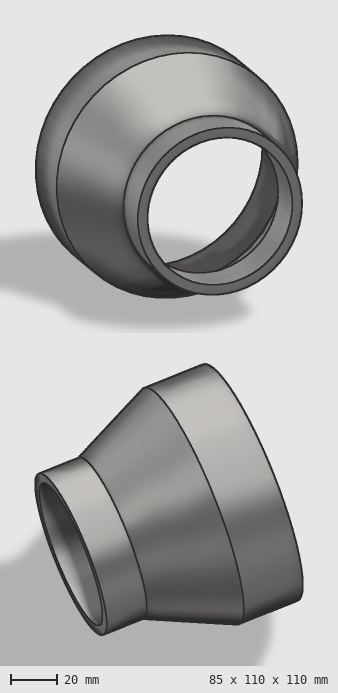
import cadquery as cq

large_outer_diameter = 110.0
large_wall = 6.6
small_outer_diameter = 75.0
small_wall = 4.5

total_length = 85.0
large_end_length = 28.0
small_end_length = 19.0
taper_end = total_length - small_end_length


def stepped_taper(large_radius, small_radius):
    """Solid of revolution about X: wide cylinder, cone, narrow cylinder."""
    return (
        cq.Workplane("XY")
        .moveTo(0, 0)
        .lineTo(0, large_radius)
        .lineTo(large_end_length, large_radius)
        .lineTo(taper_end, small_radius)
        .lineTo(total_length, small_radius)
        .lineTo(total_length, 0)
        .close()
        .revolve(360, (0, 0, 0), (1, 0, 0))
    )


large_outer_radius = large_outer_diameter / 2
small_outer_radius = small_outer_diameter / 2

body = stepped_taper(large_outer_radius, small_outer_radius)
bore = stepped_taper(large_outer_radius - large_wall, small_outer_radius - small_wall)

result = body.cut(bore)